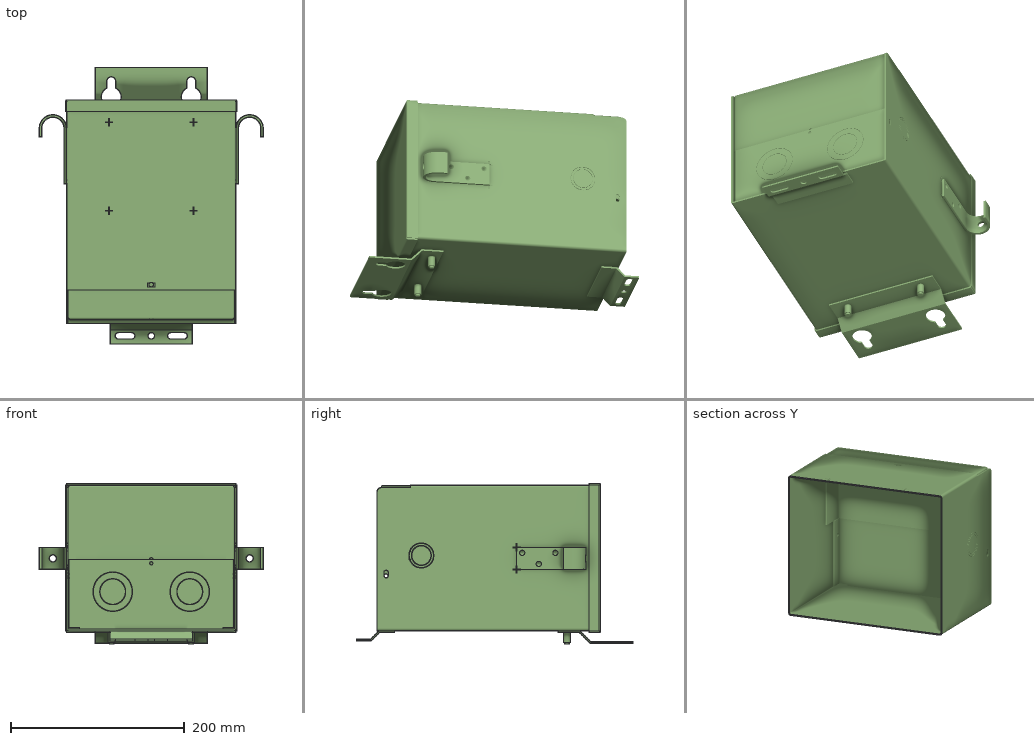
import cadquery as cq
import math


TOTAL_DEPTH = 318.87
TOTAL_HEIGHT = 185.38

SHEET = 1.9
HOUSING_WIDTH = 195.2
HOUSING_DEPTH = 256.0
HOUSING_HEIGHT = 168.1
BEND_RADIUS = 2.8
OPENING_DEPTH = 38.6
SIDE_TOP = HOUSING_HEIGHT - BEND_RADIUS
SIDE_CORNER_RADIUS = 5.4
HALF_WIDTH = HOUSING_WIDTH / 2
INNER_HALF_WIDTH = HALF_WIDTH - SHEET
MARK_DEPTH = SHEET / 2

CROSS_LENGTH = 8.4
CROSS_WIDTH = 1.0
TOP_CROSS_X = 48.6
TOP_CROSS_YS = (130.0, 232.0)

CAP_BACK = SHEET
CAP_SIDE = 1.0
CAP_TOP = SHEET
CAP_FLANGE = 13.3
CAP_BEND_RADIUS = SHEET
CAP_REAR = HOUSING_DEPTH + CAP_BACK

PANEL_FRONT = 4.0
COVER_FRONT = 5.0
COVER_TOP = 167.4
SEAM_HEIGHT = 82.3
SHEET_BEND = SHEET
PANEL_SIDE_GAP = 1.0
PANEL_HALF_WIDTH = INNER_HALF_WIDTH - PANEL_SIDE_GAP
PANEL_RETURN = 15.0
RELIEF_LENGTH = 12.0
RELIEF_HEIGHT = 1.8

SIDE_SCREW_Y = 10.5
SIDE_SCREW_Z = 63.4
SIDE_SCREW_DIAMETER = 4.4
SIDE_LATCH_RISE = 3.9
SIDE_LATCH_RADIUS = 2.6
TOP_LATCH_Y = 44.4
TOP_LATCH_SIZE = (9.0, 4.4)
TOP_LATCH_DIAMETER = 5.2
TOP_LATCH_OFFSET = 0.6
FRONT_HOLE_DIAMETER = 3.6
FRONT_NOTCH_DIAMETER = 4.2
FRONT_HOLE_DROP = 4.4

GROOVE_WIDTH = 0.4
FRONT_KNOCKOUT_X = 44.4
FRONT_KNOCKOUT_Z = 45.2
FRONT_KNOCKOUT_DIAMETERS = (45.6, 30.0)
SIDE_KNOCKOUT_Y = 51.2
SIDE_KNOCKOUT_Z = 86.9
SIDE_KNOCKOUT_DIAMETERS = (28.8, 23.0)

HOOK_THICKNESS = 3.0
HOOK_HEIGHT = 25.4
HOOK_RADIUS = 15.76
HOOK_CENTRE_Y = 225.0
HOOK_CENTRE_Z = 83.55
HOOK_FRONT = 161.0
HOOK_TIP = 215.2
HOOK_HOLE_DIAMETER = 8.0
HOOK_DIMPLES = ((205.6, 6.4), (186.5, -6.4), (167.4, 6.4))
HOOK_DIMPLE_DIAMETER = 6.0

SLOPE_ANGLE = 45.0
REAR_BRACKET_WIDTH = 129.6
REAR_FOOT_START = 208.8
REAR_BEND = 234.0
REAR_DROP = 12.5
REAR_END = 295.2
KEYHOLE_X = 46.1
KEYHOLE_Y = 261.2
KEYHOLE_DIAMETER = 22.6
KEYHOLE_SLOT_WIDTH = 10.0
KEYHOLE_TOP = 284.2
FRONT_BRACKET_WIDTH = 94.5
FRONT_FOOT_START = 20.4
FRONT_BEND = 2.2
FRONT_DROP = 9.6
FRONT_END = REAR_END - TOTAL_DEPTH
SLOT_X = 30.2
SLOT_Y = -14.1
SLOT_LENGTH = 22.5
SLOT_WIDTH = 7.2

STUD_X = 45.7
STUD_Y = 219.0
STUD_DIAMETER = 8.2
STUD_END = -13.4
STUD_TIP_DIAMETER = 5.4
STUD_TIP_END = HOUSING_HEIGHT + CAP_TOP - TOTAL_HEIGHT


def block(x_range, y_range, z_range):
    """Box between two limits on each axis."""
    size = [high - low for low, high in (x_range, y_range, z_range)]
    corner = (x_range[0], y_range[0], z_range[0])
    return cq.Workplane("XY").box(*size, centered=False).translate(corner)


def rod_z(x, y, diameter, z_low, z_high):
    return cq.Workplane("XY", origin=(x, y, z_low)).circle(diameter / 2).extrude(z_high - z_low)


def rod_x(y, z, diameter, x_low, x_high):
    return cq.Workplane("YZ", origin=(x_low, y, z)).circle(diameter / 2).extrude(x_high - x_low)


def rod_y(x, z, diameter, y_low, y_high):
    return cq.Workplane("XZ", origin=(x, y_high, z)).circle(diameter / 2).extrude(y_high - y_low)


def cross(workplane):
    """Shallow plus sign centred on the workplane."""
    across = workplane.rect(CROSS_LENGTH, CROSS_WIDTH).extrude(-MARK_DEPTH)
    upright = workplane.rect(CROSS_WIDTH, CROSS_LENGTH).extrude(-MARK_DEPTH)
    return across.union(upright)


def knockout(workplane, diameters):
    """Concentric ring grooves centred on the workplane."""
    grooves = None
    for diameter in diameters:
        outer = diameter / 2
        ring = workplane.circle(outer).circle(outer - GROOVE_WIDTH).extrude(-MARK_DEPTH)
        grooves = ring if grooves is None else grooves.union(ring)
    return grooves


def side_marks():
    """Knockout, hook marks and latch cut into the left wall."""
    def on_wall(y, z):
        plane = cq.Plane(origin=(-HALF_WIDTH, y, z), xDir=(0, -1, 0), normal=(-1, 0, 0))
        return cq.Workplane(plane)

    cuts = knockout(on_wall(SIDE_KNOCKOUT_Y, SIDE_KNOCKOUT_Z), SIDE_KNOCKOUT_DIAMETERS)
    for end in (-1, 1):
        cuts = cuts.union(cross(on_wall(HOOK_FRONT, HOOK_CENTRE_Z + end * HOOK_HEIGHT / 2)))
    latch = (
        on_wall(SIDE_SCREW_Y, SIDE_SCREW_Z)
        .moveTo(-SIDE_LATCH_RADIUS, 0)
        .lineTo(-SIDE_LATCH_RADIUS, SIDE_LATCH_RISE)
        .threePointArc(
            (0, SIDE_LATCH_RISE + SIDE_LATCH_RADIUS), (SIDE_LATCH_RADIUS, SIDE_LATCH_RISE)
        )
        .lineTo(SIDE_LATCH_RADIUS, 0)
        .close()
        .extrude(-MARK_DEPTH)
    )
    return cuts.union(latch)


def make_housing():
    outside = block((-HALF_WIDTH, HALF_WIDTH), (0, HOUSING_DEPTH), (0, HOUSING_HEIGHT))
    outside = outside.edges("|Y").fillet(BEND_RADIUS)
    inside = block(
        (-INNER_HALF_WIDTH, INNER_HALF_WIDTH), (0, HOUSING_DEPTH), (SHEET, HOUSING_HEIGHT - SHEET)
    )
    inside = inside.edges("|Y").fillet(BEND_RADIUS - SHEET)
    body = outside.cut(inside)

    body = body.cut(
        block((-HALF_WIDTH, HALF_WIDTH), (0, OPENING_DEPTH), (SIDE_TOP, HOUSING_HEIGHT))
    )
    upper_front = cq.selectors.BoxSelector(
        (-HOUSING_WIDTH, -SHEET, SIDE_TOP - SHEET), (HOUSING_WIDTH, SHEET, SIDE_TOP + SHEET)
    )
    body = body.edges("|X").edges(upper_front).fillet(SIDE_CORNER_RADIUS)

    for x in (-TOP_CROSS_X, TOP_CROSS_X):
        for y in TOP_CROSS_YS:
            body = body.cut(cross(cq.Workplane("XY", origin=(x, y, HOUSING_HEIGHT))))
    latch = cq.Workplane("XY", origin=(0, TOP_LATCH_Y, HOUSING_HEIGHT))
    body = body.cut(latch.rect(*TOP_LATCH_SIZE).extrude(-MARK_DEPTH / 2))
    body = body.cut(latch.center(0, TOP_LATCH_OFFSET).circle(TOP_LATCH_DIAMETER / 2).extrude(-MARK_DEPTH))

    marks = side_marks()
    body = body.cut(marks).cut(marks.mirror("YZ"))
    return body.cut(rod_x(SIDE_SCREW_Y, SIDE_SCREW_Z, SIDE_SCREW_DIAMETER, -HALF_WIDTH, HALF_WIDTH))


def make_cap():
    """Rear plate with a flange on each edge, open where the flanges meet at the corners."""
    half = HALF_WIDTH + CAP_SIDE
    front = CAP_REAR - CAP_FLANGE
    upright = block((-half, half), (front, CAP_REAR), (0, HOUSING_HEIGHT))
    upright = upright.edges(">Y and |Z").fillet(CAP_BEND_RADIUS)
    level = block(
        (-HALF_WIDTH, HALF_WIDTH), (front, CAP_REAR), (-CAP_TOP, HOUSING_HEIGHT + CAP_TOP)
    )
    level = level.edges(">Y and |X").fillet(CAP_BEND_RADIUS)
    recess = block((-HALF_WIDTH, HALF_WIDTH), (front, HOUSING_DEPTH), (0, HOUSING_HEIGHT))
    recess = recess.edges("|Y").fillet(BEND_RADIUS)
    return upright.union(level).cut(recess)


def make_access_cover():
    """Top strip and upper front in one sheet, with a return down each side."""
    rear = OPENING_DEPTH
    cover = block((-INNER_HALF_WIDTH, INNER_HALF_WIDTH), (COVER_FRONT, rear), (SEAM_HEIGHT, COVER_TOP))
    cover = cover.edges("(<Y and |Z) or (>Z and |Y) or (<Y and >Z)").fillet(SHEET_BEND)
    inner = INNER_HALF_WIDTH - SHEET
    hollow = block((-inner, inner), (COVER_FRONT + SHEET, rear), (SEAM_HEIGHT, COVER_TOP - SHEET))
    notch = rod_y(0, SEAM_HEIGHT, FRONT_NOTCH_DIAMETER, COVER_FRONT, COVER_FRONT + MARK_DEPTH)
    return cover.cut(hollow).cut(notch)


def make_front_panel():
    """Lower front sheet with a return along each side and a relief at each lower corner."""
    rear = PANEL_FRONT + PANEL_RETURN
    half = PANEL_HALF_WIDTH
    panel = block((-half, half), (PANEL_FRONT, rear), (SHEET, SEAM_HEIGHT))
    panel = panel.edges("<Y and |Z").fillet(SHEET_BEND)
    hollow = block(
        (SHEET - half, half - SHEET), (PANEL_FRONT + SHEET, rear), (SHEET, SEAM_HEIGHT)
    )
    panel = panel.cut(hollow)
    for side in (-1, 1):
        relief_x = sorted((side * half, side * (half - RELIEF_LENGTH)))
        panel = panel.cut(block(relief_x, (PANEL_FRONT, rear), (SHEET, SHEET + RELIEF_HEIGHT)))
        plane = cq.Workplane("XZ", origin=(side * FRONT_KNOCKOUT_X, PANEL_FRONT, FRONT_KNOCKOUT_Z))
        panel = panel.cut(knockout(plane, FRONT_KNOCKOUT_DIAMETERS))
    screw = rod_y(
        0, SEAM_HEIGHT - FRONT_HOLE_DROP, FRONT_HOLE_DIAMETER, PANEL_FRONT, PANEL_FRONT + MARK_DEPTH
    )
    return panel.cut(screw).cut(rod_x(SIDE_SCREW_Y, SIDE_SCREW_Z, SIDE_SCREW_DIAMETER, -half, half))


def make_hook(side):
    """J-shaped strap: a plate on the side wall, a half-round bend and a short tip."""
    inner_radius = HOOK_RADIUS - HOOK_THICKNESS
    centre_x = HALF_WIDTH + HOOK_RADIUS
    outline = (
        cq.Workplane("XY", origin=(0, 0, HOOK_CENTRE_Z - HOOK_HEIGHT / 2))
        .moveTo(HALF_WIDTH, HOOK_FRONT)
        .lineTo(HALF_WIDTH, HOOK_CENTRE_Y)
        .threePointArc((centre_x, HOOK_CENTRE_Y + HOOK_RADIUS), (centre_x + HOOK_RADIUS, HOOK_CENTRE_Y))
        .lineTo(centre_x + HOOK_RADIUS, HOOK_TIP)
        .lineTo(centre_x + inner_radius, HOOK_TIP)
        .lineTo(centre_x + inner_radius, HOOK_CENTRE_Y)
        .threePointArc((centre_x, HOOK_CENTRE_Y + inner_radius), (centre_x - inner_radius, HOOK_CENTRE_Y))
        .lineTo(centre_x - inner_radius, HOOK_FRONT)
        .close()
    )
    hook = outline.extrude(HOOK_HEIGHT)
    hook = hook.cut(
        rod_y(centre_x, HOOK_CENTRE_Z, HOOK_HOLE_DIAMETER, HOOK_CENTRE_Y, HOOK_CENTRE_Y + HOOK_RADIUS)
    )
    for y, rise in HOOK_DIMPLES:
        mouth = cq.Vector(HALF_WIDTH + HOOK_THICKNESS, y, HOOK_CENTRE_Z + rise)
        inward = cq.Vector(-1, 0, 0)
        hook = hook.cut(cq.Solid.makeCone(HOOK_DIMPLE_DIAMETER / 2, 0, HOOK_THICKNESS, mouth, inward))
    return hook if side > 0 else hook.mirror("YZ")


def bent_strip(width, foot_start, bend, drop, end):
    """Foot under the housing, a 45 degree slope down and a level plate, all in one sheet."""
    way = 1 if end > foot_start else -1
    mitre = way * SHEET * math.tan(math.radians(SLOPE_ANGLE / 2))
    foot_of_slope = bend + way * drop
    return (
        cq.Workplane("YZ", origin=(-width / 2, 0, 0))
        .polyline([
            (foot_start, 0),
            (bend, 0),
            (foot_of_slope, -drop),
            (end, -drop),
            (end, -drop - SHEET),
            (foot_of_slope - mitre, -drop - SHEET),
            (bend - mitre, -SHEET),
            (foot_start, -SHEET),
        ])
        .close()
        .extrude(width)
    )


def make_rear_bracket():
    bracket = bent_strip(REAR_BRACKET_WIDTH, REAR_FOOT_START, REAR_BEND, REAR_DROP, REAR_END)
    low = -REAR_DROP - SHEET
    slot_end = KEYHOLE_TOP - KEYHOLE_SLOT_WIDTH / 2
    for x in (-KEYHOLE_X, KEYHOLE_X):
        neck_x = (x - KEYHOLE_SLOT_WIDTH / 2, x + KEYHOLE_SLOT_WIDTH / 2)
        neck = block(neck_x, (KEYHOLE_Y, slot_end), (low, -REAR_DROP))
        bracket = bracket.cut(rod_z(x, KEYHOLE_Y, KEYHOLE_DIAMETER, low, -REAR_DROP))
        bracket = bracket.cut(neck)
        bracket = bracket.cut(rod_z(x, slot_end, KEYHOLE_SLOT_WIDTH, low, -REAR_DROP))
    return bracket


def make_front_bracket():
    bracket = bent_strip(FRONT_BRACKET_WIDTH, FRONT_FOOT_START, FRONT_BEND, FRONT_DROP, FRONT_END)
    plane = cq.Workplane("XY", origin=(0, SLOT_Y, -FRONT_DROP))
    slots = plane.pushPoints([(-SLOT_X, 0), (SLOT_X, 0)]).slot2D(SLOT_LENGTH, SLOT_WIDTH).extrude(-SHEET)
    return bracket.cut(slots).cut(plane.circle(SLOT_WIDTH / 2).extrude(-SHEET))


def make_stud(x):
    body = rod_z(x, STUD_Y, STUD_DIAMETER, STUD_END, -SHEET)
    return body.union(rod_z(x, STUD_Y, STUD_TIP_DIAMETER, STUD_TIP_END, STUD_END))


housing = make_housing()
cap = make_cap()
access_cover = make_access_cover()
front_panel = make_front_panel()
hooks = [make_hook(side) for side in (-1, 1)]
rear_bracket = make_rear_bracket()
front_bracket = make_front_bracket()
studs = [make_stud(x) for x in (-STUD_X, STUD_X)]

result = cq.Compound.makeCompound([
    housing.val(),
    cap.val(),
    access_cover.val(),
    front_panel.val(),
    *[hook.val() for hook in hooks],
    rear_bracket.val(),
    front_bracket.val(),
    *[stud.val() for stud in studs],
])